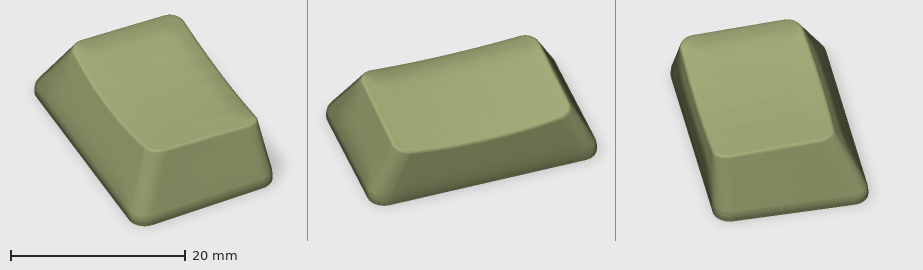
import cadquery as cq
import math

LENGTH = 27.7
WIDTH = 18.16
BASE_CORNER_RADIUS = 2.0

BEND_BOTTOM = 0.66
BEND_TOP = 1.3
BEND_STEPS = 5

SIDE_LEAN = 0.48
FRONT_LEAN = 0.52
BACK_LEAN = 0.09
BLANK_HEIGHT = 8.85
BLANK_CORNER_RADIUS = 1.77

DISH_RADIUS = 63.96
DISH_FLOOR = 6.67
DISH_TILT = 2.8
TOP_EDGE_RADIUS = 0.4


def wall_inset(lean, height):
    """Distance a wall has moved inward from the base outline at a height."""
    lean_angle = math.atan(lean)
    bend_radius = (BEND_TOP - BEND_BOTTOM) / math.sin(lean_angle)
    climb = min(height, BEND_TOP) - BEND_BOTTOM
    bend_inset = bend_radius - math.sqrt(bend_radius**2 - climb**2)
    return bend_inset + lean * max(height - BEND_TOP, 0)


def outline(height, corner_radius):
    """Rounded rectangle bounded by the four walls at a height."""
    front = -WIDTH / 2 + wall_inset(FRONT_LEAN, height)
    back = WIDTH / 2 - wall_inset(BACK_LEAN, height)
    length = LENGTH - 2 * wall_inset(SIDE_LEAN, height)
    flat = cq.Sketch().rect(length, back - front).vertices().fillet(corner_radius)
    return flat.moved(cq.Location(cq.Vector(0, (front + back) / 2, height)))


def tilted_outline(middle_height, corner_radius):
    """Rounded rectangle parallel to the dish axis, reaching the front and back walls."""
    slope = math.tan(math.radians(DISH_TILT))
    front_start = -WIDTH / 2 + wall_inset(FRONT_LEAN, BEND_TOP) - FRONT_LEAN * BEND_TOP
    back_start = WIDTH / 2 - wall_inset(BACK_LEAN, BEND_TOP) + BACK_LEAN * BEND_TOP
    front = (front_start + FRONT_LEAN * middle_height) / (1 + FRONT_LEAN * slope)
    back = (back_start - BACK_LEAN * middle_height) / (1 - BACK_LEAN * slope)
    length = LENGTH - 2 * wall_inset(SIDE_LEAN, middle_height)
    width = (back - front) / math.cos(math.radians(DISH_TILT))
    middle_y = (front + back) / 2
    center = cq.Vector(0, middle_y, middle_height - slope * middle_y)
    flat = cq.Sketch().rect(length, width).vertices().fillet(corner_radius)
    return flat.moved(cq.Location(center, cq.Vector(1, 0, 0), -DISH_TILT))


def make_blank():
    """Skirt, bend and leaning walls, stacked and joined."""
    base = outline(BEND_BOTTOM, BASE_CORNER_RADIUS)
    skirt = cq.Workplane("XY").placeSketch(base).extrude(-BEND_BOTTOM)
    bend_step = (BEND_TOP - BEND_BOTTOM) / BEND_STEPS
    bend_outlines = [
        outline(BEND_BOTTOM + step * bend_step, BASE_CORNER_RADIUS)
        for step in range(BEND_STEPS + 1)
    ]
    bend = cq.Workplane("XY").placeSketch(*bend_outlines).loft()
    walls = (
        cq.Workplane("XY")
        .placeSketch(
            outline(BEND_TOP, BASE_CORNER_RADIUS),
            tilted_outline(BLANK_HEIGHT, BLANK_CORNER_RADIUS),
        )
        .loft(ruled=True)
    )
    return skirt.union(bend).union(walls)


def make_dish():
    """Long cylinder lying front to back, resting on the tilted dish floor."""
    return (
        cq.Workplane("XZ")
        .center(0, DISH_RADIUS)
        .circle(DISH_RADIUS)
        .extrude(WIDTH, both=True)
        .rotate((0, 0, 0), (1, 0, 0), -DISH_TILT)
        .translate((0, 0, DISH_FLOOR))
    )


body = make_blank().cut(make_dish())
dish_face = body.faces(cq.selectors.NearestToPointSelector((0, 0, DISH_FLOOR)))
result = dish_face.edges().fillet(TOP_EDGE_RADIUS)